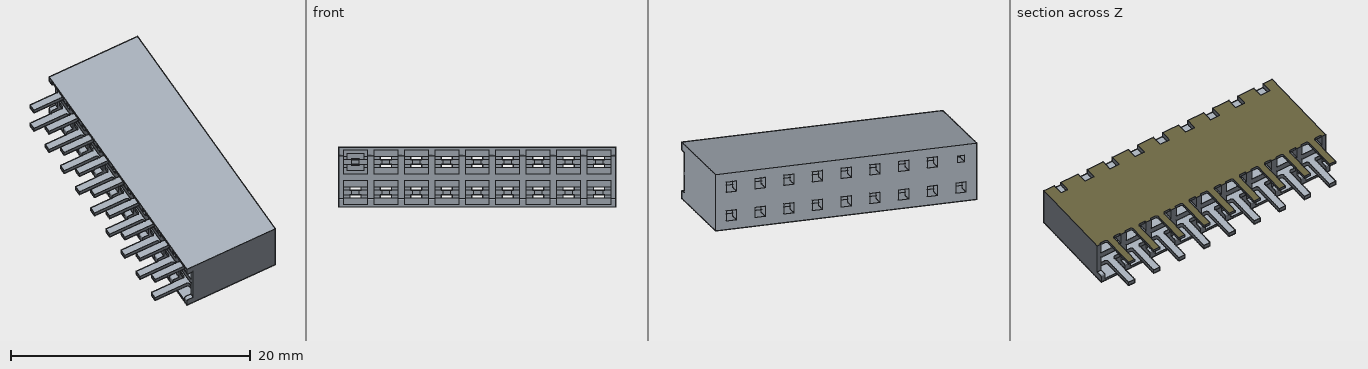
import cadquery as cq


LENGTH = 23.11
HEIGHT = 5.0
TOTAL_DEPTH = 10.95

PITCH = 2.54
COLUMNS = 9
ROWS = 2

HOUSING_DEPTH = 8.5
RAIL_DEPTH = 0.6
RAIL_HEIGHT = 0.72
RAIL_FILLET = 0.15
CORE_DEPTH = HOUSING_DEPTH - RAIL_DEPTH

CELL_SIZE = 2.0
ENTRY_SIZE = 0.9
SLOT_HEIGHT = ENTRY_SIZE
FRONT_WALL = 1.0
CELL_FLOOR_Y = -CORE_DEPTH / 2
SLOT_FLOOR_Y = -FRONT_WALL

PIN_WIDTH = 0.64
CONTACT_THICKNESS = 0.4
SHOULDER_FILLET = 0.17
SHOULDER_RECESS = 0.16
SHOULDER_Y = -CORE_DEPTH + SHOULDER_RECESS

INSERT_SIZE = 1.4
INSERT_HOLE_WIDTH = 0.64
INSERT_HOLE_HEIGHT = 0.57
INSERT_PROUD = 0.2


def block(width, height, y_back, y_front, x=0.0, z=0.0):
    """Box centred on (x, z) that spans y_back to y_front."""
    depth = y_front - y_back
    return cq.Workplane("XY").box(width, depth, height).translate((x, (y_back + y_front) / 2, z))


def grid_positions():
    """Cell centres (x, z), row by row from the top left."""
    return [
        ((column - (COLUMNS - 1) / 2) * PITCH, ((ROWS - 1) / 2 - row) * PITCH)
        for row in range(ROWS)
        for column in range(COLUMNS)
    ]


def make_housing_blank():
    """Block with a standoff rail along the top and bottom of its back face."""
    blank = block(LENGTH, HEIGHT, -HOUSING_DEPTH, 0)
    channel_height = HEIGHT - 2 * RAIL_HEIGHT
    blank = blank.cut(block(LENGTH, channel_height, -HOUSING_DEPTH, -CORE_DEPTH))
    inner_edges = cq.selectors.BoxSelector(
        (-LENGTH, -HOUSING_DEPTH - RAIL_FILLET, -channel_height / 2 - RAIL_FILLET),
        (LENGTH, -HOUSING_DEPTH + RAIL_FILLET, channel_height / 2 + RAIL_FILLET),
    )
    return blank.edges("|X").edges(inner_edges).fillet(RAIL_FILLET)


def make_cavity(x, z):
    """Stepped opening that runs through the housing."""
    cell = block(CELL_SIZE, CELL_SIZE, -HOUSING_DEPTH, CELL_FLOOR_Y, x, z)
    slot = block(CELL_SIZE, SLOT_HEIGHT, CELL_FLOOR_Y, SLOT_FLOOR_Y, x, z)
    entry = block(ENTRY_SIZE, ENTRY_SIZE, SLOT_FLOOR_Y, 0, x, z)
    return cell.union(slot).union(entry)


def make_insert(x, z):
    """Square plug with a small through hole, standing proud of the cell floor."""
    plug = block(INSERT_SIZE, INSERT_SIZE, CELL_FLOOR_Y - INSERT_PROUD, 0, x, z)
    return plug.cut(block(INSERT_HOLE_WIDTH, INSERT_HOLE_HEIGHT, -HOUSING_DEPTH, 0, x, z))


def make_contact(x, z):
    """Flat contact: a blade as wide as the cell, filleted into a narrow solder pin."""
    half_blade = CELL_SIZE / 2
    half_pin = PIN_WIDTH / 2
    fillet_x = half_pin + SHOULDER_FILLET
    fillet_y = SHOULDER_Y - SHOULDER_FILLET
    outline = (
        cq.Workplane("XY")
        .moveTo(-half_blade, SLOT_FLOOR_Y)
        .lineTo(half_blade, SLOT_FLOOR_Y)
        .lineTo(half_blade, SHOULDER_Y)
        .lineTo(fillet_x, SHOULDER_Y)
        .radiusArc((half_pin, fillet_y), -SHOULDER_FILLET)
        .lineTo(half_pin, -TOTAL_DEPTH)
        .lineTo(-half_pin, -TOTAL_DEPTH)
        .lineTo(-half_pin, fillet_y)
        .radiusArc((-fillet_x, SHOULDER_Y), -SHOULDER_FILLET)
        .lineTo(-half_blade, SHOULDER_Y)
        .close()
    )
    return outline.extrude(CONTACT_THICKNESS / 2, both=True).translate((x, 0, z))


positions = grid_positions()

result = make_housing_blank()
for cell_x, cell_z in positions:
    result = result.cut(make_cavity(cell_x, cell_z))

first_x, first_z = positions[0]
result = result.union(make_insert(first_x, first_z))

for cell_x, cell_z in positions:
    result = result.union(make_contact(cell_x, cell_z))

result = cq.Workplane(result.solids().val())